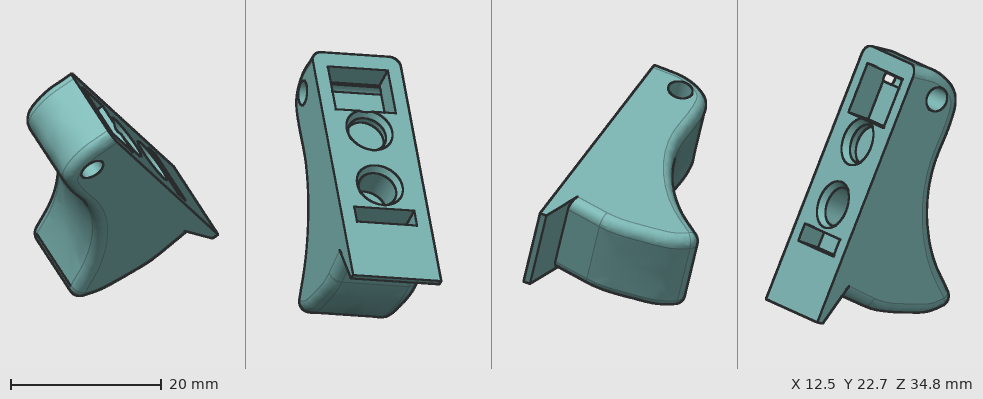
import cadquery as cq
import math

width = 12.5
edge_radius = 1.5

top_corner = (6.85, 34.75)
tail_tip = (22.65, 1.88)
tail_end = (21.8, 1.55)
tail_root = (18.63, 4.97)
toe = (0.3, 0.87)

sole_start = (14.4, 2.45)
nose_front = (0.0, 28.9)

pin_diameter = 3.3
pin_center = (3.72, 29.7)

back_run = tail_tip[0] - top_corner[0]
back_drop = top_corner[1] - tail_tip[1]
back_length = math.hypot(back_run, back_drop)

bore_diameter = 5.3
mouth_diameter = 6.45
mouth_depth = 0.97
upper_bore_place = 12.37
lower_bore_place = 21.35
upper_bore_depth = 1.98
lower_bore_depth = 5.2

slot_width = 8.5
slot_depth = 3.48
upper_slot_start = 2.3
upper_slot_length = 7.0
lower_slot_start = 25.15
lower_slot_length = 2.45


def make_body():
    """Extrude the side profile across the width and round its exposed edges."""
    profile = (
        cq.Workplane("YZ", origin=(-width / 2, 0, 0))
        .moveTo(*top_corner)
        .lineTo(*tail_tip)
        .lineTo(*tail_end)
        .lineTo(*tail_root)
        .lineTo(*sole_start)
        .spline(
            [(11.25, 1.15), (8.0, 0.45), (4.75, 0.0), toe],
            tangents=[(-5, -3), (-5, 1)],
            includeCurrent=True,
        )
        .spline(
            [
                (3.2, 6.5),
                (4.52, 12.95),
                (3.13, 21.15),
                (1.55, 24.23),
                (0.45, 26.8),
                nose_front,
                (0.52, 30.65),
                (2.9, 33.1),
                top_corner,
            ],
            tangents=[(1, 2), (5, 2)],
            includeCurrent=True,
        )
        .close()
    )
    body = profile.extrude(width)

    sharp_spans = [(top_corner, tail_tip), (tail_tip, tail_end), (tail_end, tail_root)]
    sharp_middles = [((a[0] + b[0]) / 2, (a[1] + b[1]) / 2) for a, b in sharp_spans]

    def is_rounded(edge):
        middle = edge.positionAt(0.5)
        return all(math.dist((middle.y, middle.z), point) > 0.05 for point in sharp_middles)

    side_edges = [edge for edge in body.faces("<X or >X").edges().vals() if is_rounded(edge)]
    toe_edge = [
        edge
        for edge in body.edges("|X").vals()
        if math.dist((edge.Center().y, edge.Center().z), toe) < 0.05
    ]
    return body.newObject(side_edges + toe_edge).fillet(edge_radius)


def back_plane(distance):
    """Plane on the back, its X axis pointing down the slope and its normal outward."""
    share = distance / back_length
    return cq.Plane(
        origin=(0, top_corner[0] + share * back_run, top_corner[1] - share * back_drop),
        xDir=(0, back_run, -back_drop),
        normal=(0, back_drop, back_run),
    )


def make_bore(distance, depth):
    """Blind bore with a conical mouth, centred at a distance down the back."""
    bore_radius = bore_diameter / 2
    mouth_radius = mouth_diameter / 2
    plane = back_plane(distance)
    bore = cq.Workplane(plane).circle(bore_radius).extrude(-depth)
    mouth = cq.Solid.makeCone(mouth_radius, bore_radius, mouth_depth, plane.origin, -plane.zDir)
    return bore.union(cq.Workplane(mouth))


def make_slot(distance, length):
    """Rectangular pocket starting at a distance down the back."""
    middle = distance + length / 2
    return cq.Workplane(back_plane(middle)).rect(length, slot_width).extrude(-slot_depth)


pin_hole = (
    cq.Workplane("YZ", origin=(-width / 2, 0, 0))
    .center(*pin_center)
    .circle(pin_diameter / 2)
    .extrude(width)
)

result = (
    make_body()
    .cut(pin_hole)
    .cut(make_slot(upper_slot_start, upper_slot_length))
    .cut(make_slot(lower_slot_start, lower_slot_length))
    .cut(make_bore(upper_bore_place, upper_bore_depth))
    .cut(make_bore(lower_bore_place, lower_bore_depth))
)